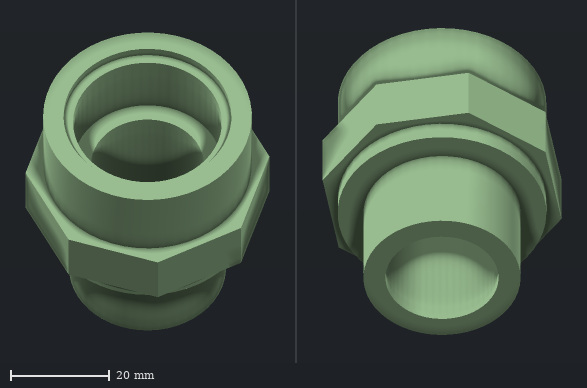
import cadquery as cq

collar_bottom = 19.15
octagon_bottom = 23.2
octagon_top = 35.0
total_height = 51.5

spigot_diameter = 32.0
socket_diameter = 42.5
octagon_corner_diameter = 49.8
octagon_sides = 8
octagon_turn = -0.9

bore_diameter = 23.0
socket_bore_diameter = 30.3
socket_bore_depth = 16.6
recess_diameter = 34.2
recess_depth = 2.1


def cylinder(diameter, bottom, top):
    """Upright cylinder on the Z axis between two heights."""
    return cq.Workplane("XY").workplane(offset=bottom).circle(diameter / 2).extrude(top - bottom)


spigot = cylinder(spigot_diameter, 0, collar_bottom)
socket = cylinder(socket_diameter, collar_bottom, total_height)
octagon = (
    cq.Workplane("XY")
    .workplane(offset=octagon_bottom)
    .polygon(octagon_sides, octagon_corner_diameter)
    .extrude(octagon_top - octagon_bottom)
    .rotate((0, 0, 0), (0, 0, 1), octagon_turn)
)
body = spigot.union(socket).union(octagon)

bore = cylinder(bore_diameter, 0, total_height)
socket_bore = cylinder(socket_bore_diameter, total_height - socket_bore_depth, total_height)
recess = cylinder(recess_diameter, total_height - recess_depth, total_height)

result = body.cut(bore).cut(socket_bore).cut(recess)